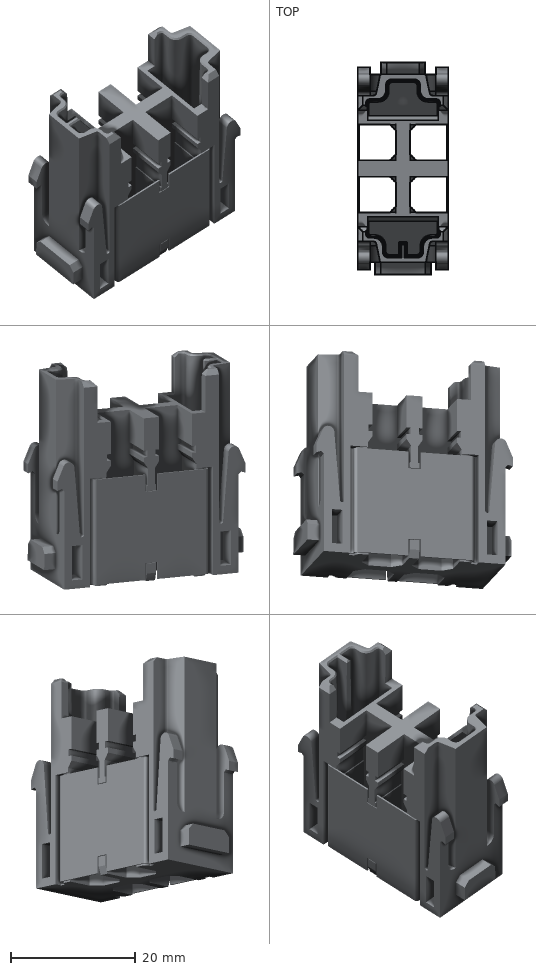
import cadquery as cq
import math

half_width = 7.3
half_length = 15.1
height = 34.0
saddle_height = 27.12
tower_inner_y = 9.35
tower_chamfer = 0.82
margin = 0.35

cell_inner_x = 1.13
cell_inner_y = 1.35
cell_outer_y = 7.05
cell_center_y = (cell_inner_y + cell_outer_y) / 2
cell_half_neck = cell_center_y - cell_inner_y
groove_bottom = 20.65
groove_top = 21.75
groove_depth = 0.65
neck_bottom = 19.8
belly_top = 18.7
belly_bottom = 15.95
belly_depth = 0.75
lower_depth = 0.55
corner_fill_top = 6.85
corner_fill_leg = 1.5

pocket_floor = 15.4
pocket_half_width = 5.78
pocket_inner_y = 7.65
pocket_wall_foot_y = 8.48
pocket_wall_foot_z = 25.5
pocket_draft = 0.8
rim_chamfer = 0.25
rim_flare = -45
pocket_shoulder_y = 10.95
shoulder_radius = 1.55
pocket_corner_radius = 0.55
bay_corner_radius = 0.8
front_bay_half_width = 3.05
rear_bay_half_width = 2.53
bay_end_y = 14.12
key_half_width = 0.4
key_tip_y = 12.05

nose_face_half_width = 3.65
nose_root_half_width = 4.38
relief_wall_y = 11.73
nose_fillet = 0.5
slot_bottom = 8.4
slot_width = 0.7
hook_inner_x = 5.3
hook_inner_top_y = 13.37
hook_arc_z = 20.18
hook_top = 21.05
hook_crown_y = 14.33
hook_shoulder_y = 15.22
hook_shoulder_z = 20.52
hook_tip_y = 16.3
hook_tip_top = 18.02
hook_tip_bottom = 16.5
barb_undercut = 0.25
barb_inset = 0.8
barb_root_z = 16.3
hook_root_radius = 1.37

lug_tip_y = 17.1
lug_draft_inset = 0.07
lug_bottom = 2.55
lug_top = 6.2
front_lug_half_width = 4.5
rear_lug_half_width = 3.55
lug_chamfer = 0.95

side_pocket_inner_y = 12.0
side_pocket_outer_y = 13.78
side_pocket_bottom = 1.45
side_pocket_top = 7.1
side_pocket_depth = 3.42

plate_thickness = 0.27
plate_bottom = 0.27
plate_top = 17.7
plate_half_length = 10.4
outer_bend_radius = 0.55
inner_bend_radius = 0.4
plate_flat_end_y = plate_half_length - outer_bend_radius - inner_bend_radius
plate_notch_half_width = 1.03
upper_notch_bottom = 14.9
lower_notch_top = 3.08
seat_top = 18.0
seat_half_length = 10.67
seat_core_half_length = 9.68
seat_core_radius = 0.82
seat_depth = outer_bend_radius + inner_bend_radius + plate_thickness
tab_half_width = cell_inner_y - lower_depth
upper_tab_bottom = 15.0
lower_tab_top = 2.98
tab_bevel_height = 1.35
tab_bevel_depth = 0.45


def box(x0, x1, y0, y1, z0, z1):
    """Box between two opposite corners."""
    size = (abs(x1 - x0), abs(y1 - y0), abs(z1 - z0))
    center = ((x0 + x1) / 2, (y0 + y1) / 2, (z0 + z1) / 2)
    return cq.Workplane("XY").box(*size).translate(center)


def side_prism(outline, x0, x1):
    """Extrude a closed outline of (y, z) points from x0 to x1."""
    return cq.Workplane("YZ", origin=(x0, 0, 0)).polyline(outline).close().extrude(x1 - x0)


def in_quadrants(shape):
    """Copies of a +X +Y shape in all four plan quadrants."""
    pair = [shape, shape.mirror("YZ")]
    return pair + [copy.mirror("XZ") for copy in pair]


def housing_block():
    """Block with two chamfered towers above a low saddle."""
    chamfer_y = tower_inner_y + tower_chamfer
    outline = [
        (-half_length, 0), (half_length, 0), (half_length, height), (chamfer_y, height),
        (tower_inner_y, height - tower_chamfer), (tower_inner_y, saddle_height),
        (-tower_inner_y, saddle_height), (-tower_inner_y, height - tower_chamfer),
        (-chamfer_y, height), (-half_length, height),
    ]
    block = side_prism(outline, -half_width, half_width)
    return block.faces(">Z").edges("|Y and (<X or >X)").chamfer(tower_chamfer)


def cell():
    """Cutter for one cell, open toward its side of the housing."""
    half_outline = [
        (cell_half_neck, saddle_height), (cell_half_neck, groove_top),
        (cell_half_neck + groove_depth, groove_top), (cell_half_neck + groove_depth, groove_bottom),
        (cell_half_neck, groove_bottom), (cell_half_neck, neck_bottom),
        (cell_half_neck + belly_depth, belly_top), (cell_half_neck + belly_depth, belly_bottom),
        (cell_half_neck + lower_depth, belly_bottom), (cell_half_neck + lower_depth, 0),
    ]
    outer = [(cell_center_y + offset, z) for offset, z in half_outline]
    inner = [(cell_center_y - offset, z) for offset, z in reversed(half_outline)]
    cutter = side_prism(outer + inner, cell_inner_x, half_width)
    for side in (-1, 1):
        corner_y = cell_center_y + side * (cell_half_neck + lower_depth)
        fill = (
            cq.Workplane("XY")
            .polyline([
                (cell_inner_x, corner_y),
                (cell_inner_x + corner_fill_leg, corner_y),
                (cell_inner_x, corner_y - side * corner_fill_leg),
            ])
            .close()
            .extrude(corner_fill_top)
        )
        cutter = cutter.cut(fill)
    return cutter


def pocket(bay_half_width, has_key):
    """Drafted pocket of the +Y tower with a narrower bay at its end and a chamfered rim."""
    right_side = [
        (pocket_half_width, pocket_inner_y), (pocket_half_width, pocket_shoulder_y),
        (bay_half_width, pocket_shoulder_y), (bay_half_width, bay_end_y),
    ]
    key = []
    if has_key:
        key = [
            (key_half_width, bay_end_y), (key_half_width, key_tip_y),
            (-key_half_width, key_tip_y), (-key_half_width, bay_end_y),
        ]
    left_side = [(-x, y) for x, y in reversed(right_side)]
    plan = cq.Workplane("XY").polyline(right_side + key + left_side).close().extrude(margin)

    def round_corners(shape, y, x, radius):
        for side in (-1, 1):
            shape = shape.edges(cq.selectors.NearestToPointSelector((side * x, y, margin / 2))).fillet(radius)
        return shape

    plan = round_corners(plan, pocket_shoulder_y, pocket_half_width, pocket_corner_radius)
    plan = round_corners(plan, pocket_shoulder_y, bay_half_width, shoulder_radius)
    plan = round_corners(plan, bay_end_y, bay_half_width, bay_corner_radius)
    outline = plan.faces("<Z").wires().val()
    rim_z = height - rim_chamfer
    body = cq.Solid.extrudeLinear(outline, [], cq.Vector(0, 0, -(rim_z - pocket_floor)), pocket_draft)
    rim = cq.Solid.extrudeLinear(outline, [], cq.Vector(0, 0, rim_chamfer), rim_flare)
    cutter = cq.Workplane(body).union(cq.Workplane(rim)).translate((0, 0, rim_z))
    sloped_wall = side_prism(
        [
            (0, pocket_floor), (pocket_wall_foot_y, pocket_floor),
            (pocket_wall_foot_y, pocket_wall_foot_z), (pocket_inner_y, saddle_height),
            (pocket_inner_y, height), (0, height),
        ],
        -half_width, half_width,
    )
    return cutter.cut(sloped_wall)


def hook_relief():
    """Cutter for the space beside a nose, down to the slot bottom."""
    return (
        cq.Workplane("XY", origin=(0, 0, slot_bottom))
        .polyline([
            (nose_root_half_width, relief_wall_y), (half_width, relief_wall_y),
            (half_width, half_length), (nose_face_half_width, half_length),
        ])
        .close()
        .extrude(height - slot_bottom)
        .edges(cq.selectors.NearestToPointSelector((nose_root_half_width, relief_wall_y, height / 2)))
        .fillet(nose_fillet)
    )


def hook():
    """Barbed spring finger with a rounded slot behind it and a filleted root toward the nose."""
    slot_radius = slot_width / 2
    slot_arc_z = slot_bottom + slot_radius
    finger = (
        cq.Workplane("YZ", origin=(hook_inner_x, 0, 0))
        .moveTo(relief_wall_y, slot_bottom - margin)
        .lineTo(relief_wall_y, slot_arc_z)
        .threePointArc((relief_wall_y + slot_radius, slot_bottom), (relief_wall_y + slot_width, slot_arc_z))
        .lineTo(hook_inner_top_y, hook_arc_z)
        .threePointArc((hook_crown_y, hook_top), (hook_shoulder_y, hook_shoulder_z))
        .lineTo(hook_tip_y, hook_tip_top)
        .lineTo(hook_tip_y, hook_tip_bottom)
        .lineTo(hook_tip_y - barb_inset, hook_tip_bottom + barb_undercut)
        .lineTo(half_length, barb_root_z)
        .lineTo(half_length, slot_bottom - margin)
        .close()
        .extrude(half_width - hook_inner_x)
    )
    root_y = relief_wall_y + slot_width
    arc_offset = hook_root_radius * (1 - math.sqrt(0.5))
    root = (
        cq.Workplane("XZ", origin=(0, half_length, 0))
        .moveTo(hook_inner_x, slot_bottom)
        .lineTo(hook_inner_x, slot_bottom + hook_root_radius)
        .threePointArc(
            (hook_inner_x - arc_offset, slot_bottom + arc_offset),
            (hook_inner_x - hook_root_radius, slot_bottom),
        )
        .close()
        .extrude(half_length - root_y)
    )
    return finger.union(root)


def lug(lug_half_width):
    """Lug on the +Y end face: upper corners chamfered, tip face slightly drafted."""
    blank = box(-lug_half_width, lug_half_width, half_length, lug_tip_y, lug_bottom, lug_top)
    blank = blank.faces(">Z").edges("|Y").chamfer(lug_chamfer)
    draft = [
        (lug_tip_y, lug_bottom), (lug_tip_y + margin, lug_bottom),
        (lug_tip_y + margin, lug_top), (lug_tip_y - lug_draft_inset, lug_top),
    ]
    return blank.cut(side_prism(draft, -lug_half_width, lug_half_width))


def seat():
    """Cutter for the seat of the +X plate, leaving a rounded core and two locating tabs."""
    cutter = box(half_width - seat_depth, half_width, -seat_half_length, seat_half_length, 0, seat_top)
    core_face = half_width - plate_thickness
    core = box(
        half_width - seat_depth, core_face, -seat_core_half_length, seat_core_half_length, 0, seat_top
    )
    core = core.faces(">X").edges("|Z").fillet(seat_core_radius)
    upper_tab = box(core_face, half_width, -tab_half_width, tab_half_width, upper_tab_bottom, seat_top)
    lower_tab = box(core_face, half_width, -tab_half_width, tab_half_width, 0, lower_tab_top)
    return cutter.cut(core).cut(upper_tab).cut(lower_tab)


def tab_bevel():
    """Cutter for the bevel under the lower tab and its web."""
    return (
        cq.Workplane("XZ", origin=(0, tab_half_width, 0))
        .polyline([(half_width, 0), (half_width, tab_bevel_height), (half_width - tab_bevel_depth, 0)])
        .close()
        .extrude(2 * tab_half_width)
    )


def make_housing():
    body = housing_block()
    for relief in in_quadrants(hook_relief()):
        body = body.cut(relief)
    for finger in in_quadrants(hook()):
        body = body.union(finger)
    body = body.union(lug(rear_lug_half_width)).union(lug(front_lug_half_width).mirror("XZ"))
    body = body.cut(pocket(rear_bay_half_width, False))
    body = body.cut(pocket(front_bay_half_width, True).mirror("XZ"))
    for side_cutter in (seat(), tab_bevel()):
        body = body.cut(side_cutter).cut(side_cutter.mirror("YZ"))
    for opening in in_quadrants(cell()):
        body = body.cut(opening)
    side_pocket = box(
        half_width - side_pocket_depth, half_width,
        side_pocket_inner_y, side_pocket_outer_y, side_pocket_bottom, side_pocket_top,
    )
    for recess in in_quadrants(side_pocket):
        body = body.cut(recess)
    return body.solids()


def plate_edge():
    """S-bent end strip of the +X plate, from the flat face inward to the +Y edge."""
    face_inner_x = half_width - plate_thickness
    bend_x = half_width - outer_bend_radius
    edge_x = bend_x - inner_bend_radius
    convex_inner_radius = outer_bend_radius - plate_thickness
    concave_inner_radius = inner_bend_radius + plate_thickness
    diagonal = math.sqrt(0.5)

    def convex(radius):
        return (bend_x + radius * diagonal, plate_flat_end_y + radius * diagonal)

    def concave(radius):
        return (bend_x - radius * diagonal, plate_half_length - radius * diagonal)

    return (
        cq.Workplane("XY", origin=(0, 0, plate_bottom))
        .moveTo(half_width, plate_flat_end_y)
        .threePointArc(convex(outer_bend_radius), (bend_x, plate_flat_end_y + outer_bend_radius))
        .threePointArc(concave(inner_bend_radius), (edge_x, plate_half_length))
        .lineTo(edge_x - plate_thickness, plate_half_length)
        .threePointArc(concave(concave_inner_radius), (bend_x, plate_flat_end_y + convex_inner_radius))
        .threePointArc(convex(convex_inner_radius), (face_inner_x, plate_flat_end_y))
        .close()
        .extrude(plate_top - plate_bottom)
    )


def make_plate():
    """Plate on the +X side with S-bent ends, notched at top and bottom for the tabs."""
    inner_x = half_width - plate_thickness
    flat = box(inner_x, half_width, -plate_flat_end_y, plate_flat_end_y, plate_bottom, plate_top)
    edge = plate_edge()
    notch = plate_notch_half_width
    upper_notch = box(inner_x, half_width, -notch, notch, upper_notch_bottom, plate_top)
    lower_notch = box(inner_x, half_width, -notch, notch, plate_bottom, lower_notch_top)
    plate = flat.union(edge).union(edge.mirror("XZ"))
    return plate.cut(upper_notch).cut(lower_notch).solids()


housing = make_housing()
right_plate = make_plate()
plates = [right_plate, right_plate.mirror("YZ")]

result = cq.Compound.makeCompound([housing.val(), *[plate.val() for plate in plates]])